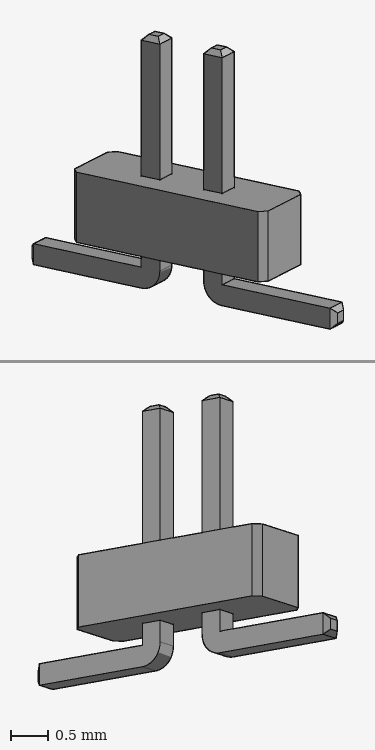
import cadquery as cq

span = 4.9
total_height = 3.6

pitch = 1.0
housing_length = 3.1
housing_width = pitch
housing_height = pitch
housing_bottom = 0.6
corner_chamfer = 0.1

pin_width = 0.3
bend_radius = pin_width
tip_chamfer = pin_width / 4


def square_post(height):
    """Vertical square post centred on the Z axis."""
    return cq.Workplane("XY").rect(pin_width, pin_width).extrude(height)


def make_pin(side):
    """Pin whose foot points toward +X (side = 1) or -X (side = -1)."""
    inner_x = (pitch - pin_width) / 2
    outer_x = inner_x + pin_width
    foot_end = span / 2
    pin = (
        cq.Workplane("XZ")
        .moveTo(inner_x, total_height)
        .lineTo(inner_x, bend_radius)
        .radiusArc((inner_x + bend_radius, 0), -bend_radius)
        .lineTo(foot_end, 0)
        .lineTo(foot_end, pin_width)
        .lineTo(outer_x, pin_width)
        .lineTo(outer_x, total_height)
        .close()
        .extrude(pin_width / 2, both=True)
    )
    pin = pin.faces(">Z").chamfer(tip_chamfer)
    pin = pin.faces(">X").chamfer(tip_chamfer)
    if side < 0:
        pin = pin.rotate((0, 0, 0), (0, 0, 1), 180)
    return pin


def make_housing():
    """Chamfered block with a square through hole for each pin."""
    block = (
        cq.Workplane("XY")
        .workplane(offset=housing_bottom)
        .rect(housing_length, housing_width)
        .extrude(housing_height)
        .edges("|Z")
        .chamfer(corner_chamfer)
    )
    for side in (-1, 1):
        hole = square_post(total_height).translate((side * pitch / 2, 0, 0))
        block = block.cut(hole)
    return block


housing = make_housing()
pins = [make_pin(side) for side in (-1, 1)]

result = cq.Compound.makeCompound([housing.val(), *[pin.val() for pin in pins]])